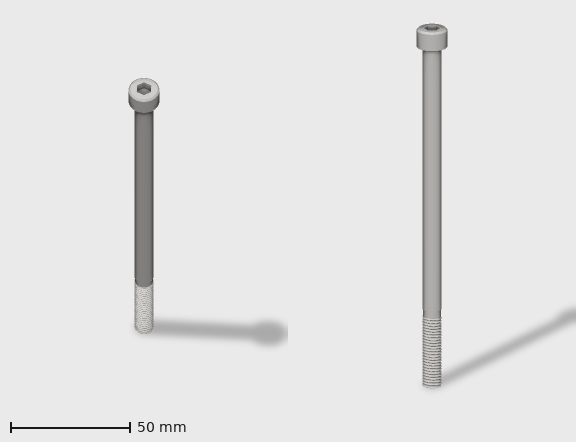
import cadquery as cq
import math

overall_length = 158.0
head_diameter = 13.0
head_height = 8.0
shank_diameter = 8.0
neck_diameter = 7.5
grip_length = 116.0
neck_length = 3.3

chamfer_size = 0.8
fillet_radius = 1.6
fillet_height = 1.3

socket_width = 6.0
socket_depth = 4.0
cone_angle = 120
hexagon_turn = 30

pitch = 1.25
thread_angle = 60
start_angle = 90
crest_share = 0.125
root_share = 0.25
ridge_overlap = 0.08

tip_z = head_height - overall_length
neck_top_z = -grip_length
thread_top_z = neck_top_z - neck_length
head_radius = head_diameter / 2
shank_radius = shank_diameter / 2
neck_radius = neck_diameter / 2


def make_body():
    """Head, underhead fillet, shank and neck as one revolved outline."""
    fillet_axis = shank_radius + fillet_radius
    full_angle = math.asin(fillet_height / fillet_radius)
    full_reach = fillet_radius * math.cos(full_angle)
    middle_reach = fillet_radius * math.cos(full_angle / 2)
    middle_rise = fillet_radius * math.sin(full_angle / 2)
    return (
        cq.Workplane("XZ")
        .moveTo(0, head_height)
        .lineTo(head_radius - chamfer_size, head_height)
        .lineTo(head_radius, head_height - chamfer_size)
        .lineTo(head_radius, 0)
        .lineTo(fillet_axis - full_reach, 0)
        .threePointArc(
            (fillet_axis - middle_reach, middle_rise - fillet_height),
            (shank_radius, -fillet_height),
        )
        .lineTo(shank_radius, neck_top_z)
        .lineTo(neck_radius, neck_top_z)
        .lineTo(neck_radius, thread_top_z)
        .lineTo(0, thread_top_z)
        .close()
        .revolve(360, (0, 0, 0), (0, 1, 0))
    )


def make_socket():
    """Hexagonal recess with corners toward +Y and -Y, ending in a drilled cone."""
    corner_diameter = socket_width / math.cos(math.radians(hexagon_turn))
    floor_z = head_height - socket_depth
    cone_radius = socket_width / 2
    cone_depth = cone_radius / math.tan(math.radians(cone_angle / 2))
    hexagon = (
        cq.Workplane("XY")
        .workplane(offset=floor_z)
        .transformed(rotate=(0, 0, hexagon_turn))
        .polygon(6, corner_diameter)
        .extrude(socket_depth)
    )
    cone = cq.Workplane(
        cq.Solid.makeCone(cone_radius, 0, cone_depth, cq.Vector(0, 0, floor_z), cq.Vector(0, 0, -1))
    )
    return hexagon.union(cone)


def make_thread():
    """Core rod with a helical V ridge, trimmed flat at both ends."""
    thread_length = thread_top_z - tip_z
    flank_slope = math.tan(math.radians(thread_angle / 2))
    crest_half = pitch * crest_share / 2
    root_half = pitch * (1 - root_share) / 2
    core_radius = shank_radius - (root_half - crest_half) / flank_slope
    base_radius = core_radius - ridge_overlap
    base_half = root_half + ridge_overlap * flank_slope

    helix = cq.Wire.makeHelix(pitch, thread_length + 2 * pitch, core_radius, lefthand=True)
    ridge = (
        cq.Workplane("XZ")
        .moveTo(base_radius, -base_half)
        .lineTo(shank_radius, -crest_half)
        .lineTo(shank_radius, crest_half)
        .lineTo(base_radius, base_half)
        .close()
        .sweep(cq.Workplane(helix), isFrenet=True)
        .rotate((0, 0, 0), (0, 0, 1), start_angle)
        .translate((0, 0, tip_z - pitch))
    )
    section = cq.Workplane("XY").workplane(offset=tip_z)
    trim = section.circle(head_radius).extrude(thread_length)
    core = section.circle(core_radius).extrude(thread_length)
    return core.union(ridge.intersect(trim))


result = make_body().cut(make_socket()).union(make_thread())